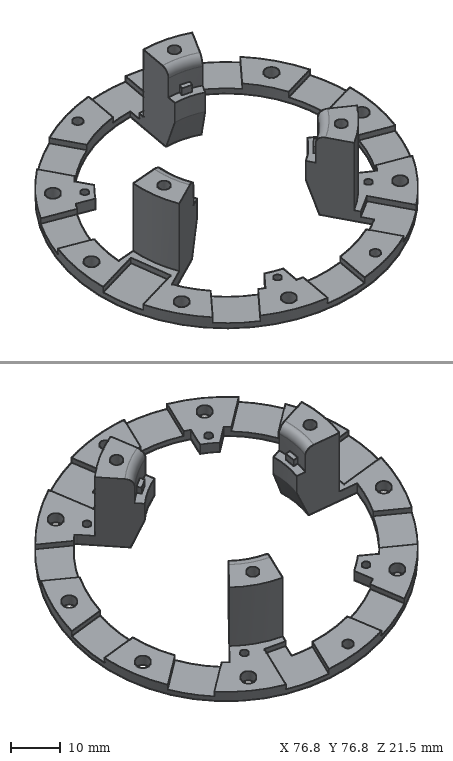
import cadquery as cq
import math

outer_radius = 38.4
inner_radius = 30.65
middle_radius = (inner_radius + outer_radius) / 2
base_height = 3.0
overall_height = 21.5

slot_pitch = 36.0
slot_count = 10
slot_angles = [90.0 + slot_pitch * i for i in range(slot_count)]
slot_width = 9.5
slot_start_radius = 27.9
slot_floor = base_height / 2

tab_angles = [slot_pitch, 180 - slot_pitch, 180 + slot_pitch, 360 - slot_pitch]
tab_wall = base_height / 2
tab_side_offset = slot_width / 2 + tab_wall

post_angles = [30.0, 150.0, 270.0]
post_spread = 24.0
post_back_radius = 26.5
post_front_radius = 16.4
post_foot_radius = 19.3
post_upper_radius = 18.5
taper_top = 8.9
ledge_height = 14.1
top_round = 2.0
nub_front_radius = 17.4
nub_width = 2.3
nub_height = 1.9

mount_hole_diameter = 3.2
mount_hole_radius = 34.9
side_hole_diameter = 2.3
side_hole_radius = 35.55
side_hole_angles = [0, 180]
mount_hole_angles = [slot_pitch * i for i in range(slot_count) if slot_pitch * i not in side_hole_angles]
tab_hole_diameter = 1.8
tab_hole_radius = 28.5
post_hole_diameter = 2.7
post_hole_radius = 23.05
post_hole_depth = overall_height - ledge_height


def polar(radius, angle):
    """Point in the XY plane at a radius and an angle in degrees."""
    return (radius * math.cos(math.radians(angle)), radius * math.sin(math.radians(angle)))


def turned(shape, angle):
    """Shape turned about the Z axis."""
    return shape.rotate((0, 0, 0), (0, 0, 1), angle)


def ring():
    return cq.Workplane("XY").circle(outer_radius).circle(inner_radius).extrude(base_height)


def tab():
    """Tab on the +X axis, reaching from the post back radius into the ring."""
    half_pitch = slot_pitch / 2

    def side_point(radius):
        angle = half_pitch - math.degrees(math.asin(tab_side_offset / radius))
        return polar(radius, angle)

    tip_x, tip_y = side_point(post_back_radius)
    root_x, root_y = side_point(middle_radius)
    return (
        cq.Workplane("XY")
        .moveTo(root_x, -root_y)
        .lineTo(tip_x, -tip_y)
        .threePointArc((post_back_radius, 0), (tip_x, tip_y))
        .lineTo(root_x, root_y)
        .close()
        .extrude(base_height)
    )


def post():
    """Post on the +X axis: a radial profile revolved through the post spread."""
    round_inset = top_round * (1 - math.sqrt(0.5))
    body = (
        cq.Workplane("XZ")
        .moveTo(middle_radius, 0)
        .lineTo(post_foot_radius, 0)
        .lineTo(post_front_radius, taper_top)
        .lineTo(post_front_radius, ledge_height)
        .lineTo(post_upper_radius, ledge_height)
        .lineTo(post_upper_radius, overall_height - top_round)
        .threePointArc(
            (post_upper_radius + round_inset, overall_height - round_inset),
            (post_upper_radius + top_round, overall_height),
        )
        .lineTo(post_back_radius, overall_height)
        .lineTo(post_back_radius, base_height)
        .lineTo(middle_radius, base_height)
        .close()
        .revolve(post_spread, (0, 0, 0), (0, 1, 0))
    )
    body = turned(body, -post_spread / 2)
    nub_length = post_upper_radius + top_round - nub_front_radius
    nub = (
        cq.Workplane("XY", origin=(nub_front_radius, 0, ledge_height))
        .box(nub_length, nub_width, nub_height, centered=(False, True, False))
    )
    hole = (
        cq.Workplane("XY", origin=(post_hole_radius, 0, overall_height - post_hole_depth))
        .circle(post_hole_diameter / 2)
        .extrude(post_hole_depth)
    )
    return body.union(nub).cut(hole)


def slot():
    """Slot on the +X axis, open at the outer rim."""
    return cq.Workplane("XY", origin=(slot_start_radius, 0, slot_floor)).box(
        outer_radius, slot_width, base_height - slot_floor, centered=(False, True, False)
    )


def base_holes(diameter, radius, angles):
    points = [polar(radius, angle) for angle in angles]
    return cq.Workplane("XY").pushPoints(points).circle(diameter / 2).extrude(base_height)


result = ring()
for angle in tab_angles:
    result = result.union(turned(tab(), angle))
for angle in post_angles:
    result = result.union(turned(post(), angle))
for angle in slot_angles:
    result = result.cut(turned(slot(), angle))
result = result.cut(base_holes(mount_hole_diameter, mount_hole_radius, mount_hole_angles))
result = result.cut(base_holes(side_hole_diameter, side_hole_radius, side_hole_angles))
result = result.cut(base_holes(tab_hole_diameter, tab_hole_radius, tab_angles))